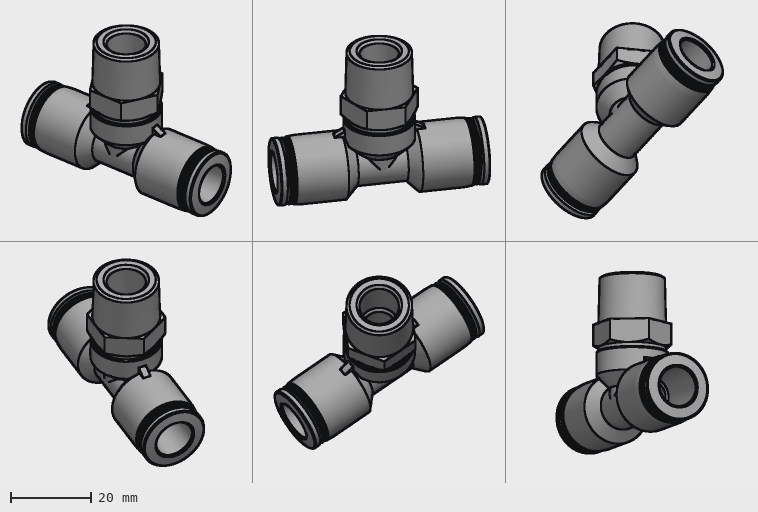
import cadquery as cq
import math

bore_radius = 8.3 / 2
tube_radius = 5.65
socket_radius = 17.5 / 2
half_length = 27.0
tube_half_length = 6.35
socket_taper_start = 20.65
socket_end = 22.55
socket_end_radius = 8.6

ring_radius = 16.8 / 2
ring_groove_radius = 16.5 / 2
ring_chamfer = 0.3
inner_ring_end = 23.0
outer_ring_start = 23.3
collar_end = 24.25

sleeve_neck_radius = 10.8 / 2
flange_start = 25.05
flange_rim_end = 26.4
flange_radius = 17.0 / 2
face_edge_x = 26.6
face_edge_radius = 8.2
neck_step_x = 24.7
neck_step_radius = 5.35
sleeve_bore_radius = 10.0 / 2
sleeve_mouth_radius = sleeve_neck_radius
sleeve_bore_depth = 16.2
sleeve_mouth_depth = sleeve_mouth_radius - sleeve_bore_radius

collar_radius = 18.0 / 2
branch_collar_bottom = 7.0
branch_collar_top = 13.0
branch_collar_chamfer = 0.4
hex_bottom = 14.05
hex_top = 20.05
hex_across_flats = 17.0
hex_corner_radius = hex_across_flats / math.sqrt(3)
hex_chamfer_angle = math.radians(30)
neck_radius = hex_across_flats / 2

branch_top = 32.0
thread_top_radius = 8.2
thread_chamfer_width = 0.8
thread_chamfer_height = 0.5
counterbore_radius = 4.9
counterbore_mouth_radius = 5.65
counterbore_bottom = 20.05

gusset_width = 2.0
gusset_end = 11.55
gusset_angle = math.radians(30)


def revolve_about_x(points):
    """Solid of revolution from (x, radius) points."""
    return cq.Workplane("XY").polyline(points).close().revolve(360, (0, 0), (1, 0))


def revolve_about_z(points):
    """Solid of revolution from (radius, z) points."""
    return cq.Workplane("XZ").polyline(points).close().revolve(360, (0, 0), (0, 1))


def run_half():
    socket_cone_length = socket_radius - tube_radius
    profile = (
        cq.Workplane("XY")
        .moveTo(0, 0)
        .lineTo(0, tube_radius)
        .lineTo(tube_half_length, tube_radius)
        .lineTo(tube_half_length + socket_cone_length, socket_radius)
        .lineTo(socket_taper_start, socket_radius)
        .lineTo(socket_end, socket_end_radius)
        .lineTo(socket_end, ring_radius)
        .lineTo(inner_ring_end, ring_radius)
        .lineTo(inner_ring_end, ring_groove_radius)
        .lineTo(outer_ring_start, ring_groove_radius)
        .lineTo(outer_ring_start + ring_chamfer, ring_radius)
        .lineTo(collar_end - ring_chamfer, ring_radius)
        .lineTo(collar_end, ring_groove_radius)
        .lineTo(collar_end, sleeve_neck_radius)
        .lineTo(neck_step_x, sleeve_neck_radius)
        .lineTo(neck_step_x, neck_step_radius)
        .lineTo(flange_start, neck_step_radius)
        .lineTo(flange_start, flange_radius)
        .lineTo(flange_rim_end, flange_radius)
        .lineTo(face_edge_x, face_edge_radius)
        .lineTo(half_length, sleeve_mouth_radius)
        .lineTo(half_length, 0)
        .close()
    )
    return profile.revolve(360, (0, 0), (1, 0))


def sleeve_bore():
    bore_floor = half_length - sleeve_bore_depth
    return revolve_about_x([
        (bore_floor, 0),
        (bore_floor, sleeve_bore_radius),
        (half_length - sleeve_mouth_depth, sleeve_bore_radius),
        (half_length, sleeve_mouth_radius),
        (half_length, 0),
    ])


def branch_body():
    shoulder_bottom = branch_collar_bottom - (collar_radius - tube_radius)
    return revolve_about_z([
        (0, 0),
        (tube_radius, 0),
        (tube_radius, shoulder_bottom),
        (collar_radius, branch_collar_bottom),
        (collar_radius, branch_collar_top - branch_collar_chamfer),
        (collar_radius - branch_collar_chamfer, branch_collar_top),
        (neck_radius, branch_collar_top),
        (neck_radius, hex_top),
        (thread_top_radius, branch_top - thread_chamfer_height),
        (thread_top_radius - thread_chamfer_width, branch_top),
        (0, branch_top),
    ])


def hexagon():
    """Hexagon with corners on X and its lower corners cut by a cone."""
    prism = (
        cq.Workplane("XY", origin=(0, 0, hex_bottom))
        .polygon(6, 2 * hex_corner_radius)
        .extrude(hex_top - hex_bottom)
    )
    chamfer_height = (hex_corner_radius - neck_radius) * math.tan(hex_chamfer_angle)
    envelope = revolve_about_z([
        (0, hex_bottom),
        (neck_radius, hex_bottom),
        (hex_corner_radius, hex_bottom + chamfer_height),
        (hex_corner_radius, hex_top),
        (0, hex_top),
    ])
    return prism.intersect(envelope)


def branch_bore():
    mouth_depth = counterbore_mouth_radius - counterbore_radius
    floor_cone_height = counterbore_radius - bore_radius
    return revolve_about_z([
        (0, 0),
        (bore_radius, 0),
        (bore_radius, counterbore_bottom),
        (counterbore_radius, counterbore_bottom + floor_cone_height),
        (counterbore_radius, branch_top - mouth_depth),
        (counterbore_mouth_radius, branch_top),
        (0, branch_top),
    ])


def gussets():
    """Sloped web from socket to socket; all but its two ends lies inside the collar."""
    inner_x = tube_radius
    peak_z = socket_radius + (gusset_end - inner_x) * math.tan(gusset_angle)
    outline = [
        (-gusset_end, socket_radius),
        (-inner_x, peak_z),
        (inner_x, peak_z),
        (gusset_end, socket_radius),
        (inner_x, tube_radius),
        (-inner_x, tube_radius),
    ]
    return cq.Workplane("XZ").polyline(outline).close().extrude(gusset_width / 2, both=True)


right_half = run_half()
right_bore = sleeve_bore()
run_bore = cq.Workplane("YZ").circle(bore_radius).extrude(half_length, both=True)

body = right_half.union(right_half.mirror("YZ"))
body = body.union(branch_body()).union(hexagon()).union(gussets())
result = body.cut(run_bore).cut(right_bore).cut(right_bore.mirror("YZ")).cut(branch_bore())